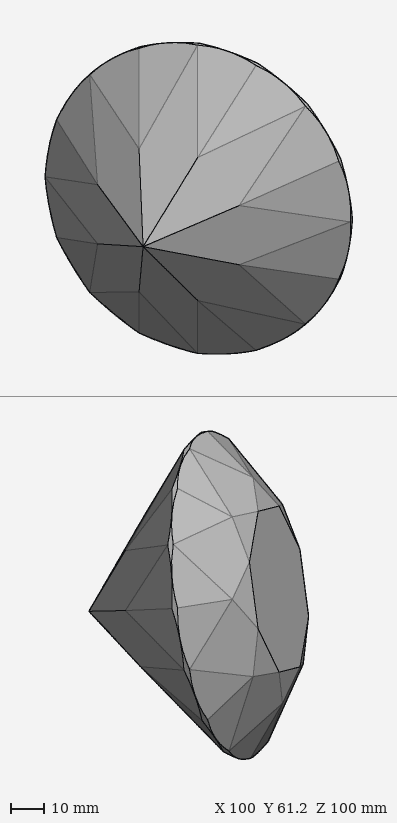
import cadquery as cq
import math

total_height = 61.2
girdle_radius = 50.0
girdle_height = 1.8
crown_height = 16.1
table_radius = 26.6
star_radius = 34.5
lower_tip_radius = 25.1
fold_count = 8
cutter_size = 4 * girdle_radius

fold_angle = 360 / fold_count
half_fold = fold_angle / 2
crown_base = girdle_height
table_level = crown_base + crown_height
culet_level = table_level - total_height


def point(radius, angle, level):
    """Point at a radius and angle around the Y axis, at a height along it."""
    turn = math.radians(angle)
    return cq.Vector(radius * math.cos(turn), level, radius * math.sin(turn))


def main_level(radius, start_radius, start_level, end_level):
    """Height of a main facet at a tip half a fold away from its middle line."""
    along = radius * math.cos(math.radians(half_fold))
    share = (along - start_radius) / (girdle_radius - start_radius)
    return start_level + share * (end_level - start_level)


def cut_facet(body, corners):
    """Remove everything beyond the plane through three facet corners, seen from the origin."""
    first, second, third = corners
    normal = (second - first).cross(third - first)
    if normal.dot(first) < 0:
        normal = normal * -1
    plane = cq.Plane(origin=first, xDir=second - first, normal=normal)
    cutter = cq.Workplane(plane).rect(cutter_size, cutter_size).extrude(cutter_size)
    return body.cut(cutter)


star_level = main_level(star_radius, table_radius, table_level, crown_base)
lower_tip_level = main_level(lower_tip_radius, 0, culet_level, 0)
culet = cq.Vector(0, culet_level, 0)

result = (
    cq.Workplane("XZ", origin=(0, table_level, 0))
    .circle(girdle_radius)
    .extrude(total_height)
)

for fold in range(fold_count):
    middle = fold * fold_angle
    before = middle - half_fold
    after = middle + half_fold
    table_corner = point(table_radius, middle, table_level)
    star_before = point(star_radius, before, star_level)
    star_after = point(star_radius, after, star_level)
    lower_before = point(lower_tip_radius, before, lower_tip_level)
    lower_after = point(lower_tip_radius, after, lower_tip_level)

    result = cut_facet(result, (table_corner, star_before, star_after))
    result = cut_facet(result, (culet, lower_before, lower_after))

    next_corner = point(table_radius, middle + fold_angle, table_level)
    result = cut_facet(result, (table_corner, next_corner, star_after))

    for side, star_tip, lower_tip in (
        (before, star_before, lower_before),
        (after, star_after, lower_after),
    ):
        upper_corners = [point(girdle_radius, angle, crown_base) for angle in (middle, side)]
        lower_corners = [point(girdle_radius, angle, 0) for angle in (middle, side)]
        result = cut_facet(result, (star_tip, *upper_corners))
        result = cut_facet(result, (lower_tip, *lower_corners))